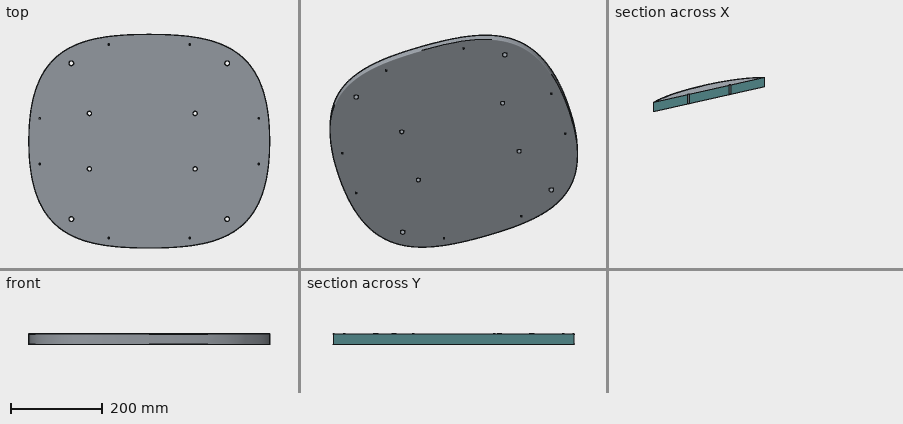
import cadquery as cq

length = 527.0
width = 467.0
thickness = 24.0
edge_radius = 1.5

end_handle = 206.0
side_handle = 156.5

corner_hole_diameter = 10.0
corner_hole_offset = 170.0

mount_hole_diameter = 9.0
mount_center_x = -15.5
mount_spacing_x = 230.5
mount_spacing_y = 121.0

pilot_hole_diameter = 3.0
end_pilot_x = 239.0
end_pilot_y = 50.0
side_pilot_x = 88.5
side_pilot_y = 211.0


def plate():
    """Rounded plate: four tangent cubic curves joined at the side midpoints."""
    half_x = length / 2
    half_y = width / 2
    outline = (
        cq.Workplane("XY")
        .moveTo(half_x, 0)
        .bezier([(half_x, 0), (half_x, end_handle), (side_handle, half_y), (0, half_y)])
        .bezier([(0, half_y), (-side_handle, half_y), (-half_x, end_handle), (-half_x, 0)])
        .bezier([(-half_x, 0), (-half_x, -end_handle), (-side_handle, -half_y), (0, -half_y)])
        .bezier([(0, -half_y), (side_handle, -half_y), (half_x, -end_handle), (half_x, 0)])
        .wire()
    )
    body = outline.extrude(thickness)
    return body.faces("<Z or >Z").edges().fillet(edge_radius)


def hole_rectangle(diameter, spacing_x, spacing_y, center_x=0.0):
    """Four through-hole cutters at the corners of a rectangle."""
    return (
        cq.Workplane("XY")
        .center(center_x, 0)
        .rect(spacing_x, spacing_y, forConstruction=True)
        .vertices()
        .circle(diameter / 2)
        .extrude(thickness)
    )


hole_groups = [
    hole_rectangle(corner_hole_diameter, 2 * corner_hole_offset, 2 * corner_hole_offset),
    hole_rectangle(mount_hole_diameter, mount_spacing_x, mount_spacing_y, mount_center_x),
    hole_rectangle(pilot_hole_diameter, 2 * end_pilot_x, 2 * end_pilot_y),
    hole_rectangle(pilot_hole_diameter, 2 * side_pilot_x, 2 * side_pilot_y),
]

result = plate()
for holes in hole_groups:
    result = result.cut(holes)